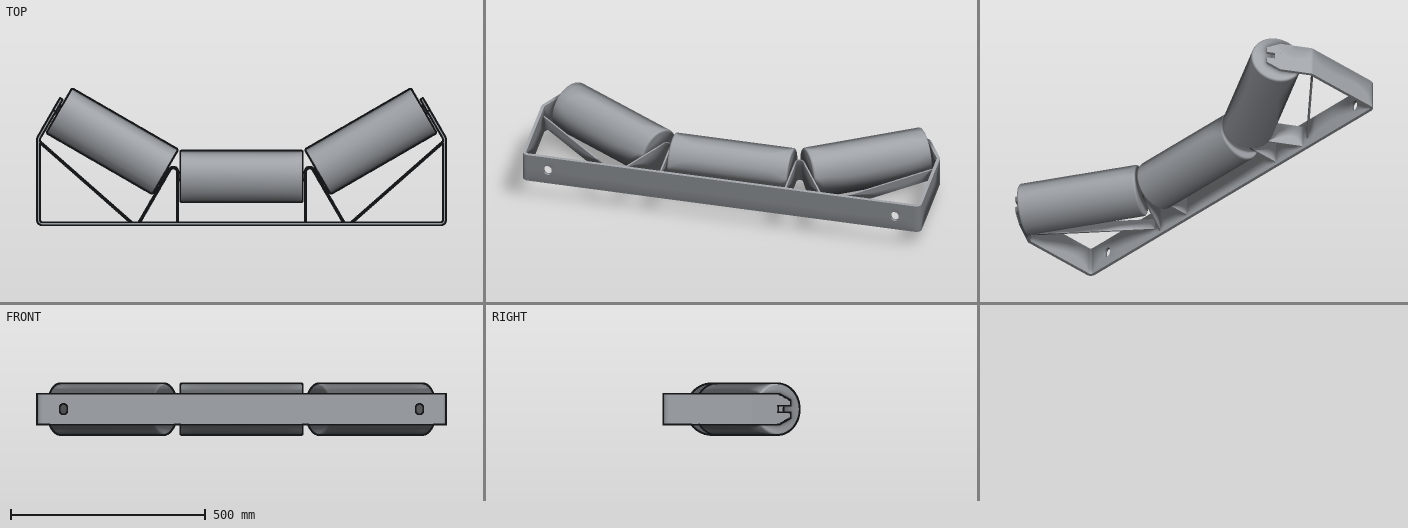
import cadquery as cq
import math

FRAME_LENGTH = 1050.0
FRAME_HEIGHT = 80.0
FRAME_THICKNESS = 8.0
BEND_RADIUS = 15.0
ARM_START_Y = 225.0
ARM_LENGTH = 119.0
TIP_CHAMFER_LENGTH = 35.0
TIP_CHAMFER_HEIGHT = 17.0
MOUNT_HOLE_X = 457.0
MOUNT_HOLE_WIDTH = 20.0
MOUNT_HOLE_HEIGHT = 27.0

TILT = 30.0
ROLLER_LENGTH = 315.0
ROLLER_DIAMETER = 133.0
ROLLER_EDGE_FILLET = 5.0
SHAFT_DIAMETER = 23.0
SHAFT_SQUARE = 17.0
BRACKET_GAP = 4.7
ARM_GAP = 5.8
CENTER_ROLLER_Y = 126.0
ARM_TO_SHAFT = 89.0

BRACKET_THICKNESS = 4.0
BRACKET_HEIGHT = 61.0
BRACKET_BEND_RADIUS = 13.0

BRACE_THICKNESS = 4.0
BRACE_HEIGHT = 30.0
BRACE_WALL_Y = 216.0
BRACE_BASE_X = 280.0

UPRIGHT = 90

HALF_LENGTH = FRAME_LENGTH / 2
WALL_X = HALF_LENGTH - FRAME_THICKNESS
SIN_TILT = math.sin(math.radians(TILT))
COS_TILT = math.cos(math.radians(TILT))
SIDES = (-1, 1)

OUTER_ROLLER_CENTER = FRAME_THICKNESS + ARM_GAP + ROLLER_LENGTH / 2
BRACKET_FACE = OUTER_ROLLER_CENTER + ROLLER_LENGTH / 2 + BRACKET_GAP


def arm_point(along, inward):
    """Point (x, y) measured from the outer corner of the +X arm."""
    x = HALF_LENGTH - along * SIN_TILT - inward * COS_TILT
    y = ARM_START_Y + along * COS_TILT - inward * SIN_TILT
    return x, y


def mirrored(points):
    """XY points reflected to the -X side."""
    return [(-x, y) for x, y in points]


def strip(points, height):
    """Plate with the given XY outline, centred on Z = 0."""
    return cq.Workplane("XY").polyline(points).close().extrude(height / 2, both=True)


def round_bends(plate, corners, radius):
    """Round the Z edges standing at the given XY corners."""
    for x, y in corners:
        plate = plate.edges(cq.selectors.NearestToPointSelector((x, y, 0))).fillet(radius)
    return plate


def arm_block(along, inward, length, depth, height):
    """Block aligned with the +X arm and centred on the given arm point."""
    x, y = arm_point(along, inward)
    block = cq.Workplane("XY").box(depth, length, height)
    return block.rotate((0, 0, 0), (0, 0, 1), TILT).translate((x, y, 0))


def make_frame():
    """Bent bar with slotted arm tips and two upright mounting slots in its base."""
    inner_turn = FRAME_THICKNESS * math.tan(math.radians(TILT / 2))
    outer_bends = [(HALF_LENGTH, 0), (HALF_LENGTH, ARM_START_Y)]
    inner_bends = [(WALL_X, FRAME_THICKNESS), (WALL_X, ARM_START_Y - inner_turn)]
    tip = [arm_point(ARM_LENGTH, 0), arm_point(ARM_LENGTH, FRAME_THICKNESS)]
    half = outer_bends + tip + inner_bends[::-1]
    frame = strip(half + mirrored(half[::-1]), FRAME_HEIGHT)
    frame = round_bends(frame, outer_bends + mirrored(outer_bends), BEND_RADIUS)
    inner_radius = BEND_RADIUS - FRAME_THICKNESS
    frame = round_bends(frame, inner_bends + mirrored(inner_bends), inner_radius)
    tip_cut = arm_tip_cut()
    frame = frame.cut(tip_cut).cut(tip_cut.mirror("YZ"))
    holes = (
        cq.Workplane("XZ")
        .pushPoints([(side * MOUNT_HOLE_X, 0) for side in SIDES])
        .slot2D(MOUNT_HOLE_HEIGHT, MOUNT_HOLE_WIDTH, UPRIGHT)
        .extrude(-FRAME_THICKNESS)
    )
    return frame.cut(holes)


def arm_tip_cut():
    """Material removed from the +X arm: two tip corners and the shaft slot."""
    slot_start = ARM_TO_SHAFT - SHAFT_SQUARE / 2
    half_height = FRAME_HEIGHT / 2
    corner = [
        (ARM_LENGTH, half_height),
        (ARM_LENGTH - TIP_CHAMFER_LENGTH, half_height),
        (ARM_LENGTH, half_height - TIP_CHAMFER_HEIGHT),
    ]
    arm_plane = cq.Plane(
        origin=(HALF_LENGTH, ARM_START_Y, 0),
        xDir=(-SIN_TILT, COS_TILT, 0),
        normal=(COS_TILT, SIN_TILT, 0),
    )
    upper_corner = cq.Workplane(arm_plane).polyline(corner).close().extrude(-FRAME_THICKNESS)
    slot_length = ARM_LENGTH - slot_start
    slot = arm_block(slot_start + slot_length / 2, FRAME_THICKNESS / 2,
                     slot_length, FRAME_THICKNESS, SHAFT_SQUARE)
    return slot.union(upper_corner).union(upper_corner.mirror("XY"))


def make_roller(right_gap, right_plate):
    """Roller along X; its +X end spans the given gap and plate, its -X end meets a bracket."""
    half_length = ROLLER_LENGTH / 2
    drum = cylinder(-half_length, half_length, ROLLER_DIAMETER)
    drum = drum.faces("<X or >X").edges().fillet(ROLLER_EDGE_FILLET)
    shaft_left = -half_length - BRACKET_GAP
    shaft_right = half_length + right_gap
    shaft = cylinder(shaft_left, shaft_right, SHAFT_DIAMETER)
    tongue_left = shaft_left - BRACKET_THICKNESS
    tongue_right = shaft_right + right_plate
    tongue_bar = (
        cq.Workplane("YZ", origin=(tongue_left, 0, 0))
        .rect(SHAFT_SQUARE, SHAFT_SQUARE)
        .extrude(tongue_right - tongue_left)
    )
    return drum.union(shaft).union(tongue_bar)


def cylinder(start_x, end_x, diameter):
    """Cylinder along the X axis."""
    section = cq.Workplane("YZ", origin=(start_x, 0, 0)).circle(diameter / 2)
    return section.extrude(end_x - start_x)


def make_outer_roller():
    """Inclined roller on the +X side, from the bracket up to the arm."""
    x, y = arm_point(ARM_TO_SHAFT, OUTER_ROLLER_CENTER)
    roller = make_roller(ARM_GAP, FRAME_THICKNESS)
    return roller.rotate((0, 0, 0), (0, 0, 1), TILT).translate((x, y, 0))


def make_center_roller():
    """Level roller between the two brackets."""
    return make_roller(BRACKET_GAP, BRACKET_THICKNESS).translate((0, CENTER_ROLLER_Y, 0))


def make_bracket():
    """Hairpin bracket on the +X side, with a square window for each shaft tongue."""
    leg_x = ROLLER_LENGTH / 2 + BRACKET_GAP
    face_x, face_y = arm_point(0, BRACKET_FACE)

    def leg_face_x(inset, y):
        """X on the sloped leg, at the given depth below its roller-side face."""
        return face_x - inset / COS_TILT - (y - face_y) * SIN_TILT / COS_TILT

    def leg_face_y(inset, x):
        """Y on the sloped leg, at the given depth below its roller-side face."""
        return face_y + (face_x - inset / COS_TILT - x) * COS_TILT / SIN_TILT

    inner_x = leg_x + BRACKET_THICKNESS
    outer_apex = (leg_x, leg_face_y(0, leg_x))
    inner_apex = (inner_x, leg_face_y(BRACKET_THICKNESS, inner_x))
    outline = [
        (leg_x, FRAME_THICKNESS),
        outer_apex,
        (leg_face_x(0, FRAME_THICKNESS), FRAME_THICKNESS),
        (leg_face_x(BRACKET_THICKNESS, FRAME_THICKNESS), FRAME_THICKNESS),
        inner_apex,
        (inner_x, FRAME_THICKNESS),
    ]
    bracket = strip(outline, BRACKET_HEIGHT)
    bracket = round_bends(bracket, [outer_apex], BRACKET_BEND_RADIUS)
    bracket = round_bends(bracket, [inner_apex], BRACKET_BEND_RADIUS - BRACKET_THICKNESS)
    return bracket.cut(make_center_roller()).cut(make_outer_roller())


def make_brace():
    """Diagonal strip on the +X side, cut to meet the side wall and the base."""
    slope = math.atan2(BRACE_WALL_Y - FRAME_THICKNESS, WALL_X - BRACE_BASE_X)
    outline = [
        (WALL_X, BRACE_WALL_Y),
        (BRACE_BASE_X, FRAME_THICKNESS),
        (BRACE_BASE_X + BRACE_THICKNESS / math.sin(slope), FRAME_THICKNESS),
        (WALL_X, BRACE_WALL_Y - BRACE_THICKNESS / math.cos(slope)),
    ]
    return strip(outline, BRACE_HEIGHT)


frame = make_frame()
center_roller = make_center_roller()
bodies = [frame.val(), center_roller.val()]
for side in SIDES:
    for body in (make_outer_roller(), make_bracket(), make_brace()):
        placed = body if side > 0 else body.mirror("YZ")
        bodies.append(placed.val())

result = cq.Compound.makeCompound(bodies)